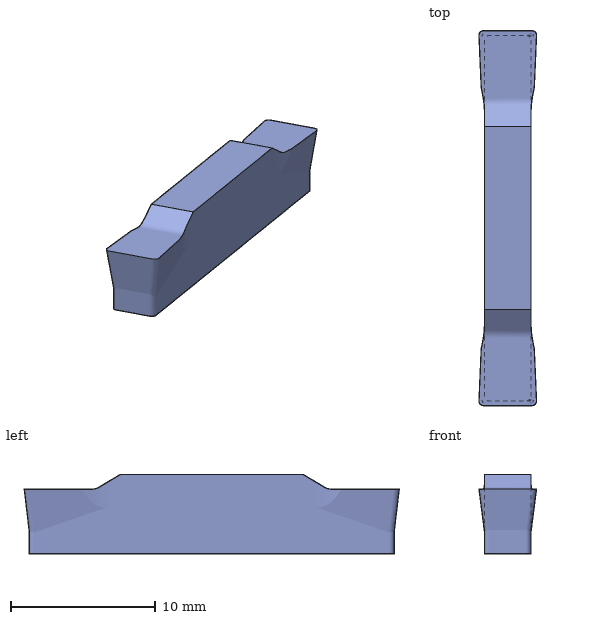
import cadquery as cq
import math

length = 26.0
height = 5.5
head_width = 4.0
shank_width = 3.22
land_height = 4.5
shank_end_depth = 0.35
corner_radius = 0.35

ramp_angle = math.radians(31)
ramp_top_depth = 6.65
ramp_radius = 0.94

flank_front_depth = 0.65
flank_front_height = 1.45
head_depth = 5.93
flank_rear_height = 3.28

front_foot_height = 1.65
side_blend_radius = 8.32

half_length = length / 2
half_head = head_width / 2
half_shank = shank_width / 2

runout_slope = (flank_rear_height - flank_front_height) / (head_depth - flank_front_depth)
runout_height_at_widest = flank_front_height + runout_slope * (corner_radius - flank_front_depth)
flank_slope = (half_head - half_shank) / (land_height - runout_height_at_widest)
front_slope = shank_end_depth / (land_height - front_foot_height)


def flank_half_width(depth, z):
    """Half-width of the head between its flank planes."""
    runout_height = flank_front_height + runout_slope * (depth - flank_front_depth)
    return half_shank + flank_slope * (z - runout_height)


def head_section(z):
    """Horizontal trapezoid through the -Y head at height z."""
    front_depth = front_slope * (land_height - z)
    front_half = flank_half_width(front_depth, z)
    rear_half = flank_half_width(head_depth, z)
    front_y = front_depth - half_length
    rear_y = head_depth - half_length
    return cq.Wire.makePolygon(
        [
            cq.Vector(-front_half, front_y, z),
            cq.Vector(front_half, front_y, z),
            cq.Vector(rear_half, rear_y, z),
            cq.Vector(-rear_half, rear_y, z),
        ],
        close=True,
    )


def make_head():
    """The -Y head with sloping faces, rounded front corners and side blends."""
    head = cq.Workplane(cq.Solid.makeLoft([head_section(0), head_section(height)], True))
    head = head.faces("<Y").edges("not |X").fillet(corner_radius)
    for side in (-1, 1):
        blend = (
            cq.Workplane("XY")
            .center(side * (half_shank + side_blend_radius), head_depth - half_length)
            .circle(side_blend_radius)
            .extrude(height)
        )
        head = head.cut(blend)
    return head


def make_shank():
    return (
        cq.Workplane("XY")
        .box(shank_width, length - 2 * shank_end_depth, height, centered=(True, True, False))
        .edges("|Z")
        .fillet(corner_radius)
    )


def top_clearance():
    """Space above the land and ramp of the -Y head."""
    corner_depth = ramp_top_depth - (height - land_height) / math.tan(ramp_angle)
    foot_y = corner_depth - ramp_radius * math.tan(ramp_angle / 2) - half_length
    blend_end_y = foot_y + ramp_radius * math.sin(ramp_angle)
    blend_end_z = land_height + ramp_radius * (1 - math.cos(ramp_angle))
    middle_y = foot_y + ramp_radius * math.sin(ramp_angle / 2)
    middle_z = land_height + ramp_radius * (1 - math.cos(ramp_angle / 2))
    outer_y = -length
    return (
        cq.Workplane("YZ")
        .moveTo(outer_y, land_height)
        .lineTo(foot_y, land_height)
        .threePointArc((middle_y, middle_z), (blend_end_y, blend_end_z))
        .lineTo(ramp_top_depth - half_length, height)
        .lineTo(outer_y, height)
        .close()
        .extrude(head_width, both=True)
    )


head = make_head()
clearance = top_clearance()
result = (
    make_shank()
    .union(head)
    .union(head.mirror("XZ"))
    .cut(clearance)
    .cut(clearance.mirror("XZ"))
)